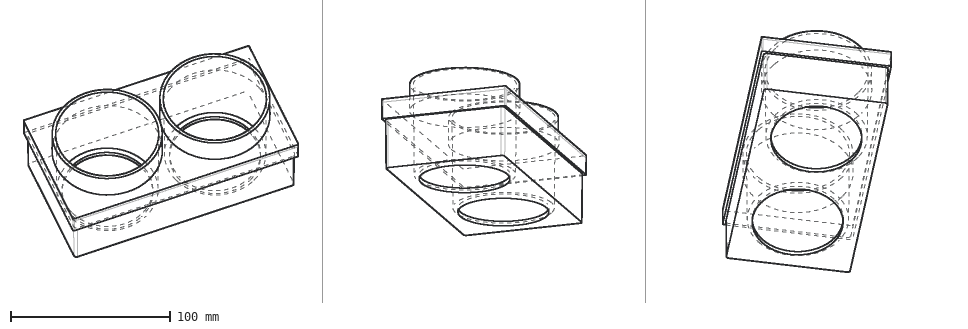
import cadquery as cq
import math

turn_angle = 45.0
total_height = 62.5

draft_angle = 0.5
draft_slope = math.tan(math.radians(draft_angle))

lid_length = 153.1
lid_width = 82.7
lid_height = 13.0
lid_corner_radius = 0.8
parting_depth = 2.0

body_height = 32.0
body_corner_radius = 2.0
body_inset = 1.7
lid_top = body_height + lid_height
parting_height = lid_top - parting_depth

tube_spacing = 73.0
tube_foot_radius = 34.7
tube_height = total_height - lid_top

socket_top_radius = 32.4
opening_radius = 28.5
ledge_height = 3.0
socket_bottom_radius = socket_top_radius - draft_slope * (total_height - ledge_height)

tube_centers = [(-tube_spacing / 2, 0), (tube_spacing / 2, 0)]


def drafted_block(length, width, corner_radius, base_height, rise):
    """Rounded block narrowing away from its base; a negative rise builds it downwards."""
    outline = cq.Sketch().rect(length, width).vertices().fillet(corner_radius)
    base = cq.Workplane("XY", origin=(0, 0, base_height))
    return base.placeSketch(outline).extrude(rise, taper=draft_angle)


def make_body():
    length = lid_length - 2 * body_inset
    width = lid_width - 2 * body_inset
    return drafted_block(length, width, body_corner_radius, body_height, -body_height)


def make_lid():
    """Lid narrowing both up and down from its parting line."""
    skirt_height = lid_height - parting_depth
    upper = drafted_block(lid_length, lid_width, lid_corner_radius, parting_height, parting_depth)
    skirt = drafted_block(lid_length, lid_width, lid_corner_radius, parting_height, -skirt_height)
    return upper.union(skirt)


def make_tubes():
    return (
        cq.Workplane("XY", origin=(0, 0, lid_top))
        .pushPoints(tube_centers)
        .circle(tube_foot_radius)
        .extrude(tube_height, taper=draft_angle)
    )


def make_bore():
    """Material removed inside one tube, as a profile turned about Z."""
    return (
        cq.Workplane("XZ")
        .moveTo(0, 0)
        .lineTo(opening_radius, 0)
        .lineTo(opening_radius, ledge_height)
        .lineTo(socket_bottom_radius, ledge_height)
        .lineTo(socket_top_radius, total_height)
        .lineTo(0, total_height)
        .close()
        .revolve(360, (0, 0, 0), (0, 1, 0))
    )


part = make_body().union(make_lid()).union(make_tubes())
for center_x, center_y in tube_centers:
    part = part.cut(make_bore().translate((center_x, center_y, 0)))

result = part.rotate((0, 0, 0), (0, 0, 1), turn_angle)